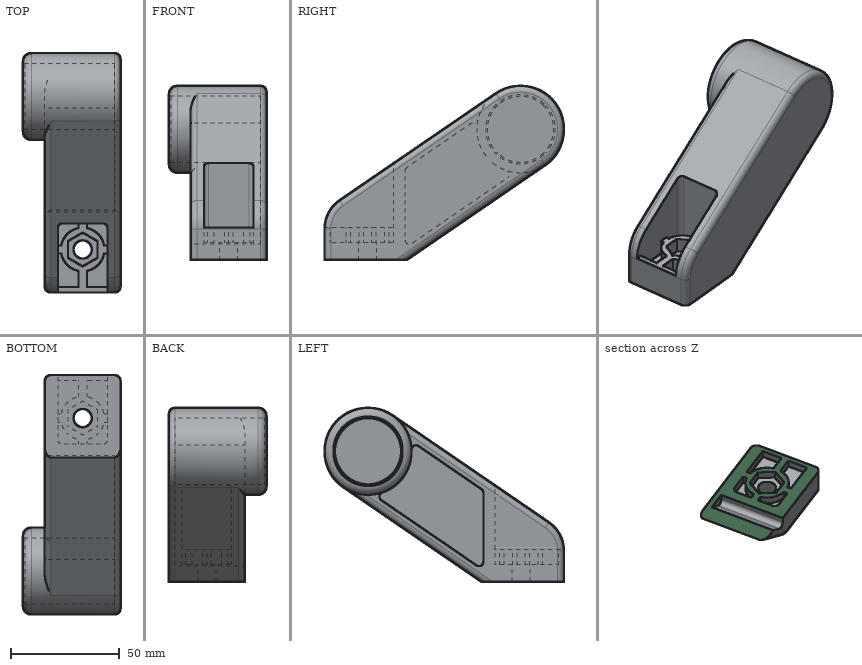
import cadquery as cq
import math

hub_radius = 20.0
hub_height = 60.0
hub_length = 45.0
hub_rim_fillet = 4.1
bore_radius = 15.2
bore_lead_in = 0.8
bore_lead_in_depth = 1.1
end_wall = 3.0
arm_width = 35.0
arm_angle = math.radians(34.4)
front_y = -90.0
nose_radius = 16.0
edge_fillet = 3.0

pocket_margin = 5.0
pocket_front_y = -52.9
pocket_corner_radius = 2.0

well_width = 22.8
well_length = 31.8
well_corner_radius = 2.1
rib_top = 15.0
cell_floor = 8.0
lip_thickness = 2.6
rib_thickness = 3.8
boss_radius = 10.0
nut_flats = 13.4
screw_diameter = 8.2
screw_setback = 19.8

arm_left = hub_length - arm_width
arm_middle = arm_left + arm_width / 2
screw_y = front_y + screw_setback
well_back_y = front_y + well_length
inner_right = hub_length - end_wall
sin_arm = math.sin(arm_angle)
cos_arm = math.cos(arm_angle)


def upper_z(y, offset):
    """Height of the line parallel to the arm and offset above the hub axis."""
    return hub_height + (offset + y * sin_arm) / cos_arm


def lower_y(z, offset):
    """Y of the line parallel to the arm and offset below the hub axis."""
    return (z - hub_height + offset / cos_arm) * cos_arm / sin_arm


def hub_cylinder(start, end, radius):
    """Cylinder on the hub axis between two X positions."""
    return (
        cq.Workplane("YZ", origin=(start, 0, hub_height))
        .circle(radius)
        .extrude(end - start)
    )


def block(x_range, y_range, z_range):
    """Box between pairs of coordinates."""
    corner = (x_range[0], y_range[0], z_range[0])
    return cq.Workplane("XY").box(
        x_range[1] - x_range[0],
        y_range[1] - y_range[0],
        z_range[1] - z_range[0],
        centered=False,
    ).translate(corner)


def make_arm():
    """Arm tangent to the hub, with a rounded nose and softened side edges."""
    nose_setback = nose_radius * math.tan((math.pi / 2 - arm_angle) / 2)
    nose_z = upper_z(front_y, hub_radius)
    nose_start_y = front_y + nose_setback * cos_arm
    nose_center = (front_y + nose_radius, nose_z - nose_setback)
    nose_mid_angle = (math.pi + math.pi / 2 + arm_angle) / 2
    nose_mid = (
        nose_center[0] + nose_radius * math.cos(nose_mid_angle),
        nose_center[1] + nose_radius * math.sin(nose_mid_angle),
    )
    tangent_y = hub_radius * sin_arm
    tangent_z = hub_radius * cos_arm
    profile = (
        cq.Workplane("YZ", origin=(arm_left, 0, 0))
        .moveTo(-tangent_y, hub_height + tangent_z)
        .lineTo(nose_start_y, upper_z(nose_start_y, hub_radius))
        .threePointArc(nose_mid, (front_y, nose_center[1]))
        .lineTo(front_y, 0)
        .lineTo(lower_y(0, hub_radius), 0)
        .lineTo(tangent_y, hub_height - tangent_z)
        .threePointArc((tangent_z, hub_height + tangent_y), (-tangent_y, hub_height + tangent_z))
        .close()
        .extrude(arm_width)
    )
    side_edges = profile.faces("<X or >X").edges().filter(lambda edge: edge.Center().z > edge_fillet)
    return side_edges.fillet(edge_fillet)


def make_hub():
    """Hub with a rounded open rim, stopping where the arm's far edge fillet begins."""
    hub = hub_cylinder(0, hub_length - edge_fillet, hub_radius)
    return hub.faces("<X").edges().fillet(hub_rim_fillet)


def make_bore():
    """Blind bore with a conical lead-in at its mouth."""
    lead_in = (
        cq.Workplane("YZ", origin=(0, 0, hub_height))
        .circle(bore_radius + bore_lead_in)
        .workplane(offset=bore_lead_in_depth)
        .circle(bore_radius)
        .loft(ruled=True)
    )
    return hub_cylinder(0, inner_right, bore_radius).union(lead_in)


def make_side_pocket():
    """Deep recess in the arm that ends at the round hub wall."""
    offset = hub_radius - pocket_margin
    outline = (
        cq.Workplane("YZ", origin=(arm_left, 0, 0))
        .moveTo(0, upper_z(0, offset))
        .lineTo(pocket_front_y, upper_z(pocket_front_y, offset))
        .lineTo(pocket_front_y, upper_z(pocket_front_y, -offset))
        .lineTo(0, upper_z(0, -offset))
        .close()
        .extrude(inner_right - arm_left)
    )
    recess = outline.cut(hub_cylinder(0, hub_length, hub_radius))
    return recess.edges("|X").fillet(pocket_corner_radius)


def make_well():
    """Open well above the ribs and the cells between the ribs."""
    x_range = (arm_middle - well_width / 2, arm_middle + well_width / 2)
    open_part = block(x_range, (front_y, well_back_y), (rib_top, hub_height))
    open_part = open_part.edges("|Z and >Y").fillet(well_corner_radius)
    cells = block(x_range, (front_y + lip_thickness, well_back_y), (cell_floor, rib_top))
    cells = cells.edges("|Z and >Y").fillet(well_corner_radius)
    rib_height = (cell_floor, rib_top)
    half_rib = rib_thickness / 2
    cross_rib = block(x_range, (screw_y - half_rib, screw_y + half_rib), rib_height)
    long_rib = block((arm_middle - half_rib, arm_middle + half_rib), (front_y, well_back_y), rib_height)
    boss = cq.Workplane("XY", origin=(arm_middle, screw_y, 0)).circle(boss_radius).extrude(rib_top)
    return open_part.union(cells.cut(cross_rib).cut(long_rib).cut(boss))


def make_screw_hole():
    """Through hole with a hexagonal nut seat whose points face along Y."""
    nut_diameter = nut_flats / math.cos(math.pi / 6)
    base = cq.Workplane("XY", origin=(arm_middle, screw_y, 0))
    hole = base.circle(screw_diameter / 2).extrude(rib_top)
    nut = (
        base.workplane(offset=cell_floor)
        .transformed(rotate=(0, 0, 90))
        .polygon(6, nut_diameter)
        .extrude(rib_top - cell_floor)
    )
    return hole.union(nut)


result = make_arm().union(make_hub())
result = result.cut(make_bore())
result = result.cut(make_side_pocket())
result = result.cut(make_well()).cut(make_screw_hole())